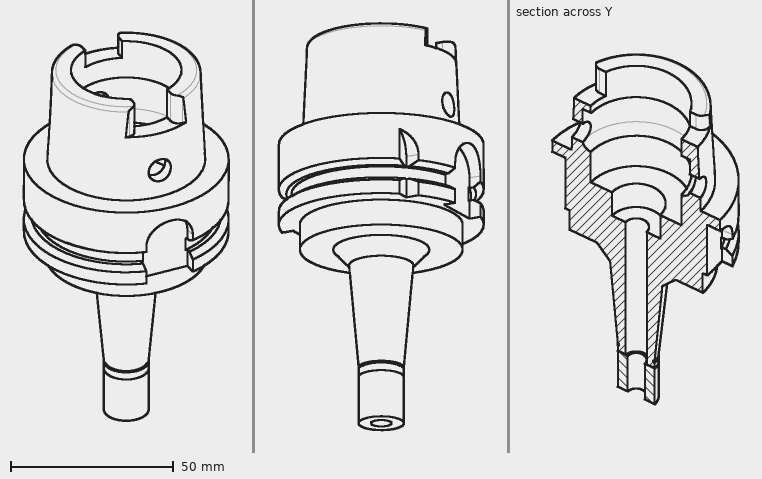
import cadquery as cq

TAPER_TOP_Z = 32.1
TAPER_BASE_R = 24.3
TAPER_TOP_R = 22.8
TAPER_RIM_FILLET = 1.2

FLANGE_R = 31.5
FLANGE_BOTTOM_Z = -25.9
GROOVE_R = 27.6
GROOVE_TOP_Z = -16.0
GROOVE_BOTTOM_Z = -20.0
GROOVE_CHAMFER_DEPTH = 2.3
GROOVE_CHAMFER_HEIGHT = 1.5
GROOVE_MOUTH_R = FLANGE_R - GROOVE_CHAMFER_DEPTH

COLLAR_R = 25.0
COLLAR_BOTTOM_Z = -33.9
CONE_TOP_R = 14.8
CONE_BOTTOM_Z = -39.0
NOSE_TOP_R = 9.9
NOSE_BOTTOM_Z = -72.0
TIP_R = 7.0
NECK_R = 6.5
NECK_HEIGHT = 0.5
TIP_TOP_Z = -75.0
TIP_BOTTOM_Z = TAPER_TOP_Z - 122.0

MOUTH_R = 17.0
MOUTH_BOTTOM_Z = TAPER_TOP_Z - 13.0
CHAMBER_R = 20.0
CHAMBER_WALL_BOTTOM_Z = 6.0
CHAMBER_FILLET = CHAMBER_R - MOUTH_R
LOWER_BORE_TOP_Z = CHAMBER_WALL_BOTTOM_Z - CHAMBER_FILLET
LOWER_BORE_FLOOR_Z = -9.8
COOLANT_SEAT_R = 9.0
COOLANT_SEAT_DEPTH = 9.8
COOLANT_SEAT_BOTTOM_Z = LOWER_BORE_FLOOR_Z - COOLANT_SEAT_DEPTH
CHANNEL_R = 3.9
TIP_BORE_R = 3.2

RIM_SLOT_WIDTH = 12.6
RIM_SLOT_CORNER_R = 2.8
RIM_FLAT_X = 20.9
SHALLOW_RIM_SLOT_DEPTH = 6.0
DEEP_RIM_SLOT_DEPTH = 10.0

CROSS_HOLE_R = 3.8
CROSS_HOLE_Z = 9.2

KEYWAY_R = 7.9
KEYWAY_FLOOR_X = 26.6
ROUND_CENTER_Z = -12.7
NOTCH_R = 9.0
NOTCH_CORNER = 20.0

CUT_REACH = 36.6


def make_outer_body():
    """Solid of revolution from the nose end up to the shank rim."""
    outline = [
        (0, TIP_TOP_Z),
        (TIP_R, TIP_TOP_Z),
        (TIP_R, NOSE_BOTTOM_Z - NECK_HEIGHT),
        (NECK_R, NOSE_BOTTOM_Z - NECK_HEIGHT),
        (NECK_R, NOSE_BOTTOM_Z),
        (TIP_R, NOSE_BOTTOM_Z),
        (NOSE_TOP_R, CONE_BOTTOM_Z),
        (CONE_TOP_R, COLLAR_BOTTOM_Z),
        (COLLAR_R, COLLAR_BOTTOM_Z),
        (COLLAR_R, FLANGE_BOTTOM_Z),
        (FLANGE_R, FLANGE_BOTTOM_Z),
        (FLANGE_R, GROOVE_BOTTOM_Z - GROOVE_CHAMFER_HEIGHT),
        (GROOVE_MOUTH_R, GROOVE_BOTTOM_Z),
        (GROOVE_R, GROOVE_BOTTOM_Z),
        (GROOVE_R, GROOVE_TOP_Z),
        (GROOVE_MOUTH_R, GROOVE_TOP_Z),
        (FLANGE_R, GROOVE_TOP_Z + GROOVE_CHAMFER_HEIGHT),
        (FLANGE_R, 0),
        (TAPER_BASE_R, 0),
        (TAPER_TOP_R, TAPER_TOP_Z),
        (0, TAPER_TOP_Z),
    ]
    body = cq.Workplane("XZ").polyline(outline).close().revolve(360, (0, 0), (0, 1))
    return body.faces(">Z").edges().fillet(TAPER_RIM_FILLET)


def make_inner_cavity():
    """Mouth, clamping chamber, lower bore, coolant seat and channel as one solid of revolution."""
    return (
        cq.Workplane("XZ")
        .moveTo(0, TIP_TOP_Z)
        .lineTo(CHANNEL_R, TIP_TOP_Z)
        .lineTo(CHANNEL_R, COOLANT_SEAT_BOTTOM_Z)
        .lineTo(COOLANT_SEAT_R, COOLANT_SEAT_BOTTOM_Z)
        .lineTo(COOLANT_SEAT_R, LOWER_BORE_FLOOR_Z)
        .lineTo(MOUTH_R, LOWER_BORE_FLOOR_Z)
        .lineTo(MOUTH_R, LOWER_BORE_TOP_Z)
        .radiusArc((CHAMBER_R, CHAMBER_WALL_BOTTOM_Z), -CHAMBER_FILLET)
        .lineTo(CHAMBER_R, MOUTH_BOTTOM_Z)
        .lineTo(MOUTH_R, MOUTH_BOTTOM_Z)
        .lineTo(MOUTH_R, TAPER_TOP_Z)
        .lineTo(0, TAPER_TOP_Z)
        .close()
        .revolve(360, (0, 0), (0, 1))
    )


def make_rim_slot(depth):
    """Slot through the +X side of the rim, with a flat on each side and rounded corners between."""
    half_width = RIM_SLOT_WIDTH / 2
    radius = RIM_SLOT_CORNER_R
    return (
        cq.Workplane("XY", origin=(0, 0, TAPER_TOP_Z - depth))
        .moveTo(0, -half_width)
        .lineTo(RIM_FLAT_X - radius, -half_width)
        .radiusArc((RIM_FLAT_X, -half_width - radius), radius)
        .lineTo(RIM_FLAT_X, -CUT_REACH)
        .lineTo(CUT_REACH, -CUT_REACH)
        .lineTo(CUT_REACH, CUT_REACH)
        .lineTo(RIM_FLAT_X, CUT_REACH)
        .lineTo(RIM_FLAT_X, half_width + radius)
        .radiusArc((RIM_FLAT_X - radius, half_width), radius)
        .lineTo(0, half_width)
        .close()
        .extrude(depth)
    )


def make_round_topped_cut(floor_x, center_y, radius):
    """Cut from outside the +X side in to floor_x: round at the top, open at the flange bottom."""
    return (
        cq.Workplane("YZ", origin=(floor_x, center_y, 0))
        .moveTo(-radius, FLANGE_BOTTOM_Z)
        .lineTo(radius, FLANGE_BOTTOM_Z)
        .lineTo(radius, ROUND_CENTER_Z)
        .threePointArc((0, ROUND_CENTER_Z + radius), (-radius, ROUND_CENTER_Z))
        .close()
        .extrude(CUT_REACH - floor_x)
    )


def make_cross_hole():
    """Hole across the shank along X."""
    return (
        cq.Workplane("YZ", origin=(-CUT_REACH, 0, CROSS_HOLE_Z))
        .circle(CROSS_HOLE_R)
        .extrude(2 * CUT_REACH)
    )


def turned_half(cut):
    """Move a cut from the +X side to the -X side by half a turn about Z."""
    return cut.rotate((0, 0, 0), (0, 0, 1), 180)


def make_holder():
    keyway = make_round_topped_cut(KEYWAY_FLOOR_X, 0, KEYWAY_R)
    notch = make_round_topped_cut(NOTCH_CORNER, -NOTCH_CORNER - NOTCH_R, NOTCH_R)
    cuts = [
        make_inner_cavity(),
        make_rim_slot(DEEP_RIM_SLOT_DEPTH),
        turned_half(make_rim_slot(SHALLOW_RIM_SLOT_DEPTH)),
        make_cross_hole(),
        keyway,
        turned_half(keyway),
        turned_half(notch),
    ]
    body = make_outer_body()
    for cut in cuts:
        body = body.cut(cut)
    return body


def make_tip():
    """Bored clamping tip, flush with the nose end."""
    return (
        cq.Workplane("XY", origin=(0, 0, TIP_BOTTOM_Z))
        .circle(TIP_R)
        .circle(TIP_BORE_R)
        .extrude(TIP_TOP_Z - TIP_BOTTOM_Z)
    )


holder = make_holder()
tip = make_tip()

result = cq.Compound.makeCompound([holder.val(), tip.val()])